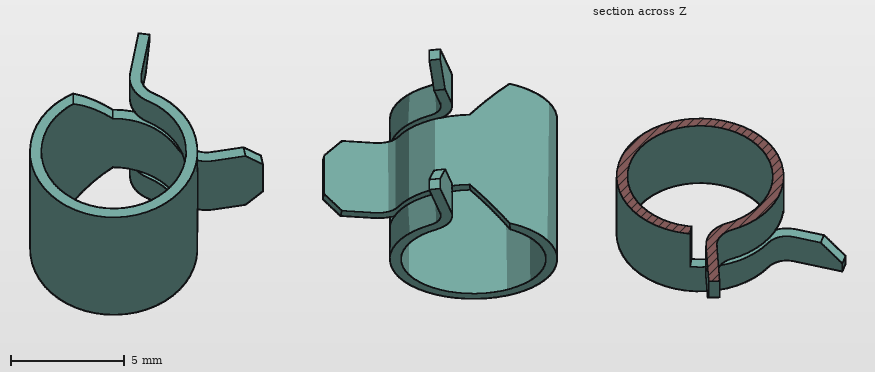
import cadquery as cq
import math


overall_length = 9.48
band_height = 7.0
outer_radius = 3.7
thickness = 0.5
inner_radius = outer_radius - thickness

seam_angle = 90.0
split_angle = 45.0
middle_tongue_width = 3.51
window_width = 4.0
taper_rise = (band_height - middle_tongue_width) / 2

bend_radius = 1.0
bend_center_angle = 16.35
ear_lean = 35.0
ear_tip_y = overall_length - outer_radius
middle_ear_chamfer = 0.79
side_ear_chamfer = 1.0

LEFT_EAR = 1
RIGHT_EAR = -1


def polar(radius, angle, center=(0, 0)):
    """Point at a radius, with the angle measured from +Y towards -X."""
    turn = math.radians(angle)
    return (center[0] - radius * math.sin(turn), center[1] + radius * math.cos(turn))


def strip(side, root_angle):
    """Bent strip from a root on the ring, along the ring to the bend and out to the ear tip.

    The strip is centered on Z = 0. RIGHT_EAR mirrors it in X, root included.
    """
    bend_center = polar(outer_radius + bend_radius, bend_center_angle)
    ear_side = 90 + ear_lean
    bend_middle = (180 + bend_center_angle + ear_side) / 2
    near_radius = bend_radius
    far_radius = bend_radius + thickness

    near_end = polar(near_radius, ear_side, bend_center)
    far_end = polar(far_radius, ear_side, bend_center)
    ear_length = (ear_tip_y - near_end[1]) / math.cos(math.radians(ear_lean))
    near_tip = polar(ear_length, ear_lean, near_end)
    far_tip = polar(ear_length, ear_lean, far_end)
    along_ring = (bend_center_angle + root_angle) / 2

    def place(point):
        return (side * point[0], point[1])

    return (
        cq.Workplane("XY")
        .moveTo(*place(polar(outer_radius, root_angle)))
        .threePointArc(place(polar(outer_radius, along_ring)), place(polar(outer_radius, bend_center_angle)))
        .threePointArc(place(polar(near_radius, bend_middle, bend_center)), place(near_end))
        .lineTo(*place(near_tip))
        .lineTo(*place(far_tip))
        .lineTo(*place(far_end))
        .threePointArc(
            place(polar(far_radius, bend_middle, bend_center)),
            place(polar(inner_radius, bend_center_angle)),
        )
        .threePointArc(place(polar(inner_radius, along_ring)), place(polar(inner_radius, root_angle)))
        .close()
        .extrude(band_height / 2, both=True)
    )


def ear_tip_edges(strip, side):
    """Edges across the strip thickness at the ear tip."""
    across_x, across_y = polar(1, 90 + ear_lean)
    across = cq.Vector(side * across_x, across_y, 0)
    return strip.edges(cq.selectors.ParallelDirSelector(across))


def window_cutter():
    """Wedge that clears the space between the upper and lower tongues, from split to split."""
    wedge_y = 2 * overall_length
    wedge_x = wedge_y * math.tan(math.radians(split_angle))
    return (
        cq.Workplane("XY")
        .polyline([(0, 0), (wedge_x, wedge_y), (-wedge_x, wedge_y)])
        .close()
        .extrude(window_width / 2, both=True)
    )


def tongue_side_cutter():
    """Material above and below the middle tongue, with the 45 degree tapers leading into it."""
    tangent = cq.Vector(*polar(1, split_angle - 90), 0)
    outward = cq.Vector(*polar(1, split_angle), 0)
    plane = cq.Plane(origin=(0, 0, 0), xDir=tangent, normal=-outward)
    half_tongue = middle_tongue_width / 2
    half_band = band_height / 2
    cutter = cq.Workplane("XY")
    for direction in (1, -1):
        side_block = (
            cq.Workplane(plane)
            .polyline([
                (-taper_rise, direction * half_band),
                (0, direction * half_tongue),
                (overall_length, direction * half_tongue),
                (overall_length, direction * half_band),
            ])
            .close()
            .extrude(-overall_length)
        )
        cutter = cutter.add(side_block)
    return cutter.combine()


result = strip(LEFT_EAR, seam_angle - 360).cut(window_cutter())

near_window = (window_width + band_height) / 4
beside_window = cq.selectors.BoxSelector(
    (-overall_length, 0, -near_window),
    (0, overall_length, near_window),
)
result = ear_tip_edges(result, LEFT_EAR).edges(beside_window).chamfer(side_ear_chamfer)

middle_tongue = strip(RIGHT_EAR, -seam_angle).cut(tongue_side_cutter())
middle_tongue = ear_tip_edges(middle_tongue, RIGHT_EAR).chamfer(middle_ear_chamfer)

result = result.union(middle_tongue, clean=False)